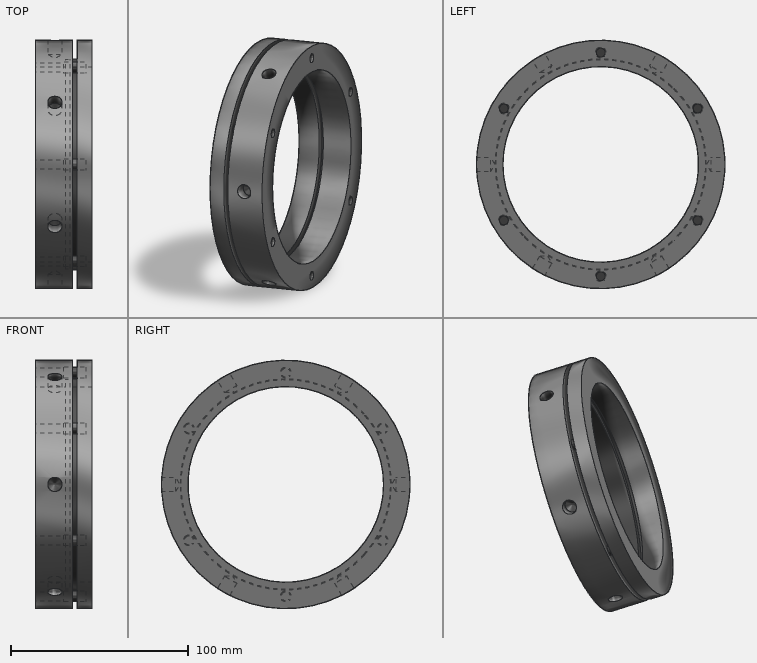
import cadquery as cq
import math

ring_length = 32.0
outer_radius = 70.0
bore_radius = 55.0

outer_groove_start = 21.0
outer_groove_width = 2.5
outer_groove_floor_radius = 59.5

bore_groove_start = 17.0
bore_groove_width = 2.5
bore_groove_depth = 4.0

pin_count = 6
pin_circle_radius = 63.0
pin_radius = 3.0
pin_seat_depth = 5.0
pin_start = outer_groove_start - pin_seat_depth
pin_length = outer_groove_width + 2 * pin_seat_depth
access_hole_radius = 2.5

spanner_hole_count = 6
spanner_hole_radius = 4.0
spanner_hole_x = 11.0
spanner_hole_depth = 8.0
drill_point_angle = 118.0


def tube(start, length, outside, inside):
    """Hollow cylinder along X."""
    return cq.Workplane("YZ", origin=(start, 0, 0)).circle(outside).circle(inside).extrude(length)


def rods_on_pin_circle(start, length, radius):
    """Separate rods along X, the first one at +Z."""
    return (
        cq.Workplane("YZ", origin=(start, 0, 0))
        .polarArray(pin_circle_radius, 90, 360, pin_count)
        .circle(radius)
        .extrude(length, combine=False)
    )


def spanner_drill(angle):
    """Drill with a conical point, entering radially at an angle measured from +Y about X."""
    floor_radius = outer_radius - spanner_hole_depth
    point_length = spanner_hole_radius / math.tan(math.radians(drill_point_angle / 2))
    drill = (
        cq.Workplane("XY")
        .moveTo(spanner_hole_x, floor_radius - point_length)
        .lineTo(spanner_hole_x + spanner_hole_radius, floor_radius)
        .lineTo(spanner_hole_x + spanner_hole_radius, outer_radius)
        .lineTo(spanner_hole_x, outer_radius)
        .close()
        .revolve(360, (spanner_hole_x, 0, 0), (spanner_hole_x, 1, 0))
    )
    return drill.rotate((0, 0, 0), (1, 0, 0), angle)


def make_ring():
    """Grooved ring with pin seats, access holes and spanner holes."""
    bore_groove_radius = bore_radius + bore_groove_depth
    ring = tube(0, ring_length, outer_radius, bore_radius)
    ring = ring.cut(tube(outer_groove_start, outer_groove_width, outer_radius, outer_groove_floor_radius))
    ring = ring.cut(tube(bore_groove_start, bore_groove_width, bore_groove_radius, bore_radius))
    ring = ring.cut(rods_on_pin_circle(0, pin_start, access_hole_radius))
    ring = ring.cut(rods_on_pin_circle(pin_start, pin_length, pin_radius))
    for index in range(spanner_hole_count):
        ring = ring.cut(spanner_drill(index * 360 / spanner_hole_count))
    return ring


def make_pins():
    """Plain pins seated in both flanges."""
    return rods_on_pin_circle(pin_start, pin_length, pin_radius)


ring = make_ring()
pins = make_pins()

result = cq.Compound.makeCompound([ring.val(), *pins.vals()])